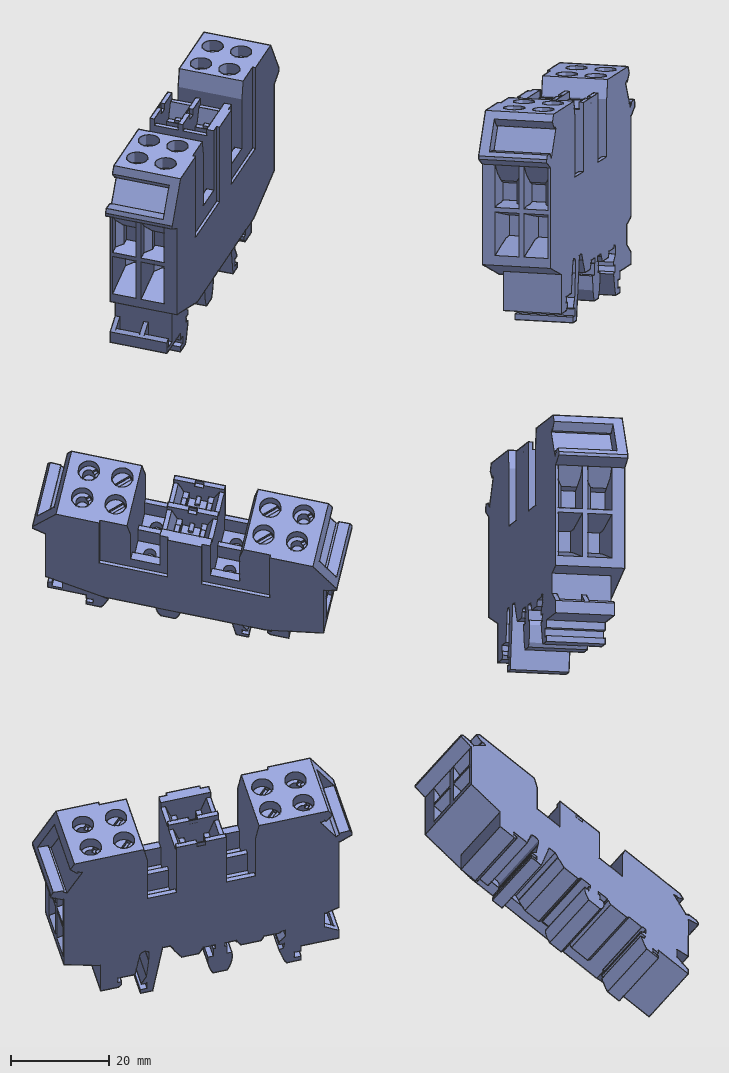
import cadquery as cq
import math

LENGTH = 63.6
WIDTH = 14.5
HEIGHT = 45.9
MODULE_PITCH = 6.2
MODULE_COUNT = 2
MODULES_WIDTH = MODULE_PITCH * MODULE_COUNT

TOP_HALF = 26.85
BODY_HALF = 29.05
LIP_TOP_Z = 37.4
LIP_BOTTOM_Z = 36.7
LIP_ROOT_Z = 35.2
SKIRT_Z = 14.3
UNDERSIDE_Z = 10.05
SKIRT_SLOPE = 0.35
WELL_OUTER = 11.4
WELL_INNER = 5.3
WELL_FLOOR_Z = 30.0
WELL_LEAD_OUTER = 12.15
WELL_LEAD_Z = 41.9
POST_TOP_Z = 44.4

RELIEF_Z = 13.15
RELIEF_SHALLOW_Z = 10.55
PAD_Z = 8.85
RAIL_GROOVE_TOP_Z = 6.35
RAIL_GROOVE_BOTTOM_Z = 5.0
TOOL_GROOVE_TOP_Z = 2.85
TOOL_GROOVE_BOTTOM_Z = 1.2
OUTER_FOOT_Y = 21.3
OUTER_FOOT_Z = 3.45
OUTER_HOOK_Y = 17.7
LEG_SLOT_OUTER_Y = 13.05
LEG_SLOT_INNER_Y = 11.05
LEG_SLOT_SPRING_Z = 12.3
LEG_SLOT_WALL_Z = 10.95
LEG_INNER_Y = 8.2
PAD_ROOT_Z = 11.75
STEM_RELIEF_START_Y = -0.4
STEM_RELIEF_END_Y = -7.4
CLAW_ROOT_Y = -17.75
CLAW_TIP_Y = -16.35
STEM_Y = -3.95
STEM_BOTTOM_Z = 1.7

HOLE_X = 3.5
PLAIN_ROW_Y = 15.45
BORED_ROW_Y = 22.45
SCREW_RADIUS = 2.15
SCREW_DEPTH = 2.5
DRIVER_SLOT_WIDTH = 0.9
DRIVER_SLOT_DEPTH = 0.75
DRIVER_SLOT_ANGLE = 45
BORE_RADIUS = 1.3
BORE_DEPTH = 2.5
WELL_HOLE_Y = 8.3

POCKET_X = 0.95
POCKET_WIDTH = 5.15
WELL_POCKET_DEPTH = 5.4
END_WALL_Z = 42.85
END_WALL_INNER = 4.3
LEDGE_OUTER = 3.2
LEDGE_INNER = 2.05
LEDGE_Z = 39.45
POST_FLOOR_Z = 36.9
TAB_X = 2.6
TAB_WIDTH = 1.6
TAB_LENGTH = 1.0
TAB_HEIGHT = 0.65
PEG_LENGTH = 1.8
PEG_RADIUS = 0.5
PEG_Z = 38.15
NOTCH_X = 0.2
NOTCH_HALF = 0.9
NOTCH_DEPTH = 1.3

ENTRY_LEFT = 0.6
ENTRY_RIGHT = 5.6
ENTRY_BACK_LEFT = 1.9
ENTRY_BACK_RIGHT = 5.2
UPPER_ENTRY_Z = 26.3
UPPER_ENTRY_BACK_Z = 27.1
UPPER_ENTRY_BACK_TOP_Z = 30.7
UPPER_ENTRY_STRAIGHT = 1.65
UPPER_ENTRY_THROAT = 3.1
UPPER_ENTRY_THROAT_TOP_Z = 31.35
UPPER_ENTRY_DEPTH = 4.45
LOWER_ENTRY_Z = 16.35
LOWER_ENTRY_TOP_Z = 25.4
LOWER_ENTRY_BACK_Z = 18.9
LOWER_ENTRY_BACK_TOP_Z = 23.15
LOWER_ENTRY_STRAIGHT = 7.65
LOWER_ENTRY_DEPTH = 8.9

SIDE_RECESS_DEPTH = 0.65
SIDE_RECESS_INNER = 3.55
SIDE_RECESS_OUTER = 17.8
SIDE_RECESS_Z = 26.3

NOTCH_WALL_Y = -26.0
PRY_FOOT_Z = 4.45
PRY_LIP_Z = 7.0
PRY_LIP_INNER_Z = 7.5
PRY_LIP_THICKNESS = 0.9
PRY_POCKET_Z = 5.5
RIB_ROOT_Z = 9.0
RIB_TIP_Z = 7.2
RIB_TIP_INSET = 0.4
RIB_WIDTH = 1.0


def prism(points, x_start, x_end):
    """Extrude a closed (Y, Z) polygon along X."""
    return cq.Workplane("YZ", origin=(x_start, 0, 0)).polyline(points).close().extrude(x_end - x_start)


def box(x_range, y_range, z_range):
    """Box between opposite corner coordinates."""
    (x0, x1), (y0, y1), (z0, z1) = x_range, y_range, z_range
    return cq.Workplane("XY").box(x1 - x0, y1 - y0, z1 - z0, centered=False).translate((x0, y0, z0))


def cylinder(x, y, z_top, radius, depth):
    """Vertical cylinder hanging down from z_top."""
    return cq.Workplane("XY", origin=(x, y, z_top)).circle(radius).extrude(-depth)


def both_ends(shape):
    """The shape together with its mirror image across the XZ plane."""
    return shape.union(shape.mirror("XZ"))


def mirrored_outline(half):
    """Close a symmetric outline from the points of its +Y half."""
    return half + [(-y, z) for y, z in reversed(half)]


def housing():
    underside_half = BODY_HALF - (SKIRT_Z - UNDERSIDE_Z) / SKIRT_SLOPE
    half = [
        (WELL_INNER, POST_TOP_Z),
        (WELL_INNER, WELL_FLOOR_Z),
        (WELL_OUTER, WELL_FLOOR_Z),
        (WELL_OUTER, WELL_LEAD_Z),
        (WELL_LEAD_OUTER, HEIGHT),
        (TOP_HALF, HEIGHT),
        (LENGTH / 2, LIP_TOP_Z),
        (LENGTH / 2, LIP_BOTTOM_Z),
        (BODY_HALF, LIP_ROOT_Z),
        (BODY_HALF, SKIRT_Z),
        (underside_half, UNDERSIDE_Z),
    ]
    return prism(mirrored_outline(half), 0, WIDTH)


def module_prism(points):
    return prism(points, 0, MODULES_WIDTH)


def outer_foot():
    """Fixed foot near the +Y end, with a hook for the rail edge."""
    return module_prism([
        (OUTER_FOOT_Y, SKIRT_Z),
        (OUTER_FOOT_Y, OUTER_FOOT_Z),
        (17.5, OUTER_FOOT_Z),
        (16.85, 4.2),
        (16.85, RAIL_GROOVE_BOTTOM_Z),
        (OUTER_HOOK_Y, RAIL_GROOVE_BOTTOM_Z),
        (OUTER_HOOK_Y, RAIL_GROOVE_TOP_Z),
        (14.05, RAIL_GROOVE_TOP_Z),
        (LEG_SLOT_OUTER_Y, LEG_SLOT_SPRING_Z),
        (LEG_SLOT_OUTER_Y, SKIRT_Z),
    ])


def spring_leg():
    """Slanted snap leg with a tool groove at its tip."""
    return module_prism([
        (LEG_SLOT_INNER_Y, SKIRT_Z),
        (LEG_SLOT_INNER_Y, LEG_SLOT_WALL_Z),
        (11.65, RAIL_GROOVE_BOTTOM_Z),
        (12.7, 3.05),
        (12.7, TOOL_GROOVE_TOP_Z),
        (11.5, TOOL_GROOVE_TOP_Z),
        (11.5, TOOL_GROOVE_BOTTOM_Z),
        (12.9, TOOL_GROOVE_BOTTOM_Z),
        (12.9, 0),
        (10.3, 0),
        (LEG_INNER_Y, RELIEF_Z),
        (LEG_INNER_Y, SKIRT_Z),
    ])


def leg_reliefs():
    """Round-topped slot and tapered slot on either side of the spring leg."""
    slot = (
        cq.Workplane("YZ")
        .moveTo(13.4, UNDERSIDE_Z)
        .lineTo(LEG_SLOT_OUTER_Y, LEG_SLOT_SPRING_Z)
        .threePointArc((12.0, RELIEF_Z), (LEG_SLOT_INNER_Y, LEG_SLOT_SPRING_Z))
        .lineTo(LEG_SLOT_INNER_Y, LEG_SLOT_WALL_Z)
        .lineTo(11.2, UNDERSIDE_Z)
        .close()
        .extrude(MODULES_WIDTH)
    )
    taper = module_prism([
        (8.7, UNDERSIDE_Z),
        (LEG_INNER_Y, RELIEF_Z),
        (6.6, RELIEF_Z),
        (4.9, UNDERSIDE_Z),
    ])
    return slot.union(taper)


def rail_pads():
    first = module_prism([
        (5.9, PAD_ROOT_Z),
        (4.2, PAD_Z),
        (0.5, PAD_Z),
        (STEM_RELIEF_START_Y, RELIEF_SHALLOW_Z),
        (STEM_RELIEF_START_Y, PAD_ROOT_Z),
    ])
    second = module_prism([
        (STEM_RELIEF_END_Y, RELIEF_SHALLOW_Z),
        (-8.25, PAD_Z),
        (-12.6, PAD_Z),
        (-13.2, UNDERSIDE_Z),
    ])
    return first.union(second)


def stem():
    """Central stem: narrow neck, wider collar and a barrel-shaped foot."""
    neck_half = 1.0
    collar_half = 1.45
    barrel_top_half = 2.5
    barrel_half = 2.6
    barrel_tip_half = 1.5
    collar_z = 9.5
    barrel_z = 7.1
    widest_z = 6.1
    bulge_half = 2.35
    bulge_z = 3.95
    y = STEM_Y
    return (
        cq.Workplane("YZ")
        .moveTo(y - neck_half, SKIRT_Z)
        .lineTo(y - neck_half, collar_z)
        .lineTo(y - collar_half, collar_z)
        .lineTo(y - collar_half, barrel_z)
        .lineTo(y - barrel_top_half, barrel_z)
        .lineTo(y - barrel_half, widest_z)
        .threePointArc((y - bulge_half, bulge_z), (y - barrel_tip_half, STEM_BOTTOM_Z))
        .lineTo(y + barrel_tip_half, STEM_BOTTOM_Z)
        .threePointArc((y + bulge_half, bulge_z), (y + barrel_half, widest_z))
        .lineTo(y + barrel_half, barrel_z)
        .lineTo(y + collar_half, barrel_z)
        .lineTo(y + collar_half, collar_z)
        .lineTo(y + neck_half, collar_z)
        .lineTo(y + neck_half, SKIRT_Z)
        .close()
        .extrude(MODULES_WIDTH)
    )


def stem_relief():
    """Shallow relief in the underside around the stem."""
    return box(
        (0, MODULES_WIDTH),
        (STEM_RELIEF_END_Y, STEM_RELIEF_START_Y),
        (UNDERSIDE_Z, RELIEF_SHALLOW_Z),
    )


def claw_foot():
    """Foot near the -Y end: rail claw, tool groove and pry lip."""
    claw = (
        cq.Workplane("YZ")
        .moveTo(CLAW_ROOT_Y, SKIRT_Z)
        .lineTo(CLAW_ROOT_Y, 8.65)
        .lineTo(CLAW_TIP_Y, 7.2)
        .lineTo(CLAW_TIP_Y, RAIL_GROOVE_TOP_Z)
        .lineTo(-17.55, RAIL_GROOVE_TOP_Z)
        .lineTo(-17.3, RAIL_GROOVE_BOTTOM_Z)
        .lineTo(CLAW_TIP_Y, 4.7)
        .lineTo(-17.4, 1.1)
        .lineTo(-17.95, 0)
        .lineTo(-21.05, 0)
        .lineTo(-21.05, TOOL_GROOVE_BOTTOM_Z)
        .lineTo(-19.6, TOOL_GROOVE_BOTTOM_Z)
        .lineTo(-19.6, TOOL_GROOVE_TOP_Z)
        .lineTo(-21.05, TOOL_GROOVE_TOP_Z)
        .lineTo(-21.05, PRY_FOOT_Z)
        .lineTo(-BODY_HALF, PRY_FOOT_Z)
        .lineTo(-BODY_HALF, PRY_LIP_Z)
        .lineTo(PRY_LIP_THICKNESS - BODY_HALF, PRY_LIP_INNER_Z)
        .lineTo(PRY_LIP_THICKNESS - BODY_HALF, PRY_POCKET_Z)
        .lineTo(NOTCH_WALL_Y, PRY_POCKET_Z)
        .lineTo(NOTCH_WALL_Y, SKIRT_Z)
        .close()
        .extrude(MODULES_WIDTH)
    )
    for module in range(MODULE_COUNT):
        x = module * MODULE_PITCH
        rib = prism([
            (NOTCH_WALL_Y, PRY_POCKET_Z),
            (NOTCH_WALL_Y, RIB_ROOT_Z),
            (RIB_TIP_INSET - BODY_HALF, RIB_TIP_Z),
            (RIB_TIP_INSET - BODY_HALF, PRY_POCKET_Z),
        ], x, x + RIB_WIDTH)
        claw = claw.union(rib)
    return claw


def claw_relief():
    """Small rounded undercut at the root of the claw."""
    return (
        cq.Workplane("YZ")
        .moveTo(CLAW_ROOT_Y, UNDERSIDE_Z)
        .threePointArc((-17.2, RELIEF_SHALLOW_Z), (-16.6, UNDERSIDE_Z))
        .close()
        .extrude(MODULES_WIDTH)
    )


def label_seats():
    """Undercut label seats in the sloping end faces, open towards -X."""
    return both_ends(module_prism([
        (LENGTH / 2, 38.3),
        (29.0, 38.1),
        (29.2, 37.7),
        (28.4, 37.15),
        (25.2, 42.7),
        (26.0, 43.1),
        (26.25, 42.75),
        (28.0, 44.7),
        (LENGTH / 2, 44.7),
    ]))


def funnel(module_x, sections):
    """Ruled funnel through (depth, left, right, bottom, top) rectangles behind the -Y entry face."""
    wires = []
    for depth, left, right, bottom, top in sections:
        y = depth - BODY_HALF
        corners = [(left, bottom), (right, bottom), (right, top), (left, top)]
        points = [cq.Vector(module_x + x, y, z) for x, z in corners]
        wires.append(cq.Wire.makePolygon(points, close=True))
    return cq.Workplane(obj=cq.Solid.makeLoft(wires, True))


def along(start, end, fraction):
    """Value at a fraction of the way from start to end."""
    return start + (end - start) * fraction


def upper_entry(module_x):
    throat_floor = along(UPPER_ENTRY_Z, UPPER_ENTRY_BACK_Z, UPPER_ENTRY_THROAT / UPPER_ENTRY_DEPTH)
    straight_floor = along(UPPER_ENTRY_Z, UPPER_ENTRY_BACK_Z, UPPER_ENTRY_STRAIGHT / UPPER_ENTRY_DEPTH)
    straight_top = along(LIP_ROOT_Z, UPPER_ENTRY_THROAT_TOP_Z, UPPER_ENTRY_STRAIGHT / UPPER_ENTRY_THROAT)
    return funnel(module_x, [
        (0, ENTRY_LEFT, ENTRY_RIGHT, UPPER_ENTRY_Z, LIP_ROOT_Z),
        (UPPER_ENTRY_STRAIGHT, ENTRY_LEFT, ENTRY_RIGHT, straight_floor, straight_top),
        (UPPER_ENTRY_THROAT, ENTRY_BACK_LEFT, ENTRY_BACK_RIGHT, throat_floor, UPPER_ENTRY_THROAT_TOP_Z),
        (UPPER_ENTRY_DEPTH, ENTRY_BACK_LEFT, ENTRY_BACK_RIGHT, UPPER_ENTRY_BACK_Z, UPPER_ENTRY_BACK_TOP_Z),
    ])


def lower_entry(module_x):
    taper_start = LOWER_ENTRY_STRAIGHT / LOWER_ENTRY_DEPTH
    straight_floor = along(LOWER_ENTRY_Z, LOWER_ENTRY_BACK_Z, taper_start)
    straight_top = along(LOWER_ENTRY_TOP_Z, LOWER_ENTRY_BACK_TOP_Z, taper_start)
    return funnel(module_x, [
        (0, ENTRY_LEFT, ENTRY_RIGHT, LOWER_ENTRY_Z, LOWER_ENTRY_TOP_Z),
        (LOWER_ENTRY_STRAIGHT, ENTRY_LEFT, ENTRY_RIGHT, straight_floor, straight_top),
        (LOWER_ENTRY_DEPTH, ENTRY_BACK_LEFT, ENTRY_BACK_RIGHT, LOWER_ENTRY_BACK_Z, LOWER_ENTRY_BACK_TOP_Z),
    ])


def screw_hole(x, y):
    """Screw well with a slanted driver slot, and a bore in the outer row."""
    floor_z = HEIGHT - SCREW_DEPTH
    slot_length = 2 * math.sqrt(SCREW_RADIUS ** 2 - (DRIVER_SLOT_WIDTH / 2) ** 2)
    hole = cylinder(x, y, HEIGHT, SCREW_RADIUS, SCREW_DEPTH)
    slot = (
        cq.Workplane("XY", origin=(x, y, floor_z))
        .transformed(rotate=(0, 0, -DRIVER_SLOT_ANGLE))
        .rect(slot_length, DRIVER_SLOT_WIDTH)
        .extrude(-DRIVER_SLOT_DEPTH)
    )
    hole = hole.union(slot)
    if abs(y) == BORED_ROW_Y:
        hole = hole.union(cylinder(x, y, floor_z, BORE_RADIUS, BORE_DEPTH))
    return hole


def well_pocket(x):
    """Pocket in a well floor with a round hole at its centre."""
    floor_z = WELL_FLOOR_Z - WELL_POCKET_DEPTH
    pocket_x = x + POCKET_X
    pocket = box(
        (pocket_x, pocket_x + POCKET_WIDTH),
        (WELL_INNER, WELL_OUTER),
        (floor_z, WELL_FLOOR_Z),
    )
    return pocket.union(cylinder(x + HOLE_X, WELL_HOLE_Y, floor_z, BORE_RADIUS, BORE_DEPTH))


def post_pocket(x):
    """Stepped pocket in the central post, with its tabs, peg and divider notch."""
    half = [
        (LEDGE_INNER, POST_FLOOR_Z),
        (LEDGE_INNER, LEDGE_Z),
        (LEDGE_OUTER, LEDGE_Z),
        (END_WALL_INNER, END_WALL_Z),
        (WELL_INNER, END_WALL_Z),
        (WELL_INNER, POST_TOP_Z),
    ]
    wall_x = x + POCKET_X
    pocket = prism(mirrored_outline(half), wall_x, wall_x + POCKET_WIDTH)
    tab = box(
        (x + TAB_X, x + TAB_X + TAB_WIDTH),
        (LEDGE_OUTER - TAB_LENGTH, LEDGE_OUTER),
        (LEDGE_Z, LEDGE_Z + TAB_HEIGHT),
    )
    peg = cq.Workplane("YZ", origin=(wall_x, 0, PEG_Z)).circle(PEG_RADIUS).extrude(PEG_LENGTH)
    notch = box((x + NOTCH_X, wall_x), (-NOTCH_HALF, NOTCH_HALF), (POST_TOP_Z - NOTCH_DEPTH, POST_TOP_Z))
    return pocket.cut(both_ends(tab)).cut(peg).union(notch)


def side_recesses():
    """Shallow recesses in the +X face beside the wells, open at the top."""
    return both_ends(box(
        (WIDTH - SIDE_RECESS_DEPTH, WIDTH),
        (SIDE_RECESS_INNER, SIDE_RECESS_OUTER),
        (SIDE_RECESS_Z, HEIGHT),
    ))


result = housing()
skirt_trim = box((0, MODULES_WIDTH), (-BODY_HALF, NOTCH_WALL_Y), (UNDERSIDE_Z, RELIEF_Z))
result = result.cut(skirt_trim).cut(leg_reliefs()).cut(stem_relief()).cut(claw_relief())
for foot in (outer_foot(), spring_leg(), rail_pads(), stem(), claw_foot()):
    result = result.union(foot)

result = result.cut(label_seats()).cut(side_recesses())
for module in range(MODULE_COUNT):
    module_x = module * MODULE_PITCH
    for entry in (upper_entry(module_x), lower_entry(module_x)):
        result = result.cut(both_ends(entry))
    result = result.cut(post_pocket(module_x)).cut(both_ends(well_pocket(module_x)))
    for row in (PLAIN_ROW_Y, BORED_ROW_Y):
        for y in (-row, row):
            result = result.cut(screw_hole(module_x + HOLE_X, y))